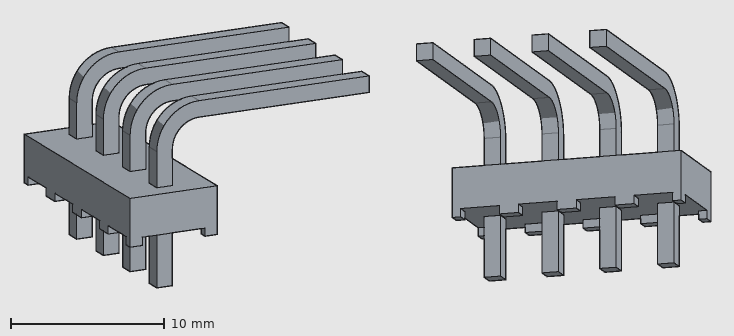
import cadquery as cq


block_length = 15.7
block_depth = 6.35
block_height = 2.78
foot_height = 0.55
foot_depth = 0.9
notch_width = 2.65

pin_count = 4
pin_pitch = 3.97
pin_width = 1.14
overall_depth = 18.03
pin_rise = 5.54
tail_length = 4.07
bend_outer_radius = 3.07

bend_inner_radius = bend_outer_radius - pin_width
pin_tip_y = overall_depth - block_depth / 2
pin_top_z = block_height + pin_rise
pin_positions = [(i - (pin_count - 1) / 2) * pin_pitch for i in range(pin_count)]


def make_housing():
    """Block with two rows of feet left standing between crossing notches."""
    full_height = block_height + foot_height
    housing = (
        cq.Workplane("XY")
        .workplane(offset=-foot_height)
        .rect(block_length, block_depth)
        .extrude(full_height)
    )
    foot_gap = block_depth - 2 * foot_depth
    channel = (
        cq.Workplane("XY")
        .rect(block_length, foot_gap)
        .extrude(-foot_height)
    )
    notches = (
        cq.Workplane("XY")
        .pushPoints([(x, 0) for x in pin_positions])
        .rect(notch_width, block_depth)
        .extrude(-foot_height)
    )
    return housing.cut(channel).cut(notches)


def make_bent_pin(x):
    """Square pin rising from the block top and bending towards +Y."""
    front_y = -pin_width / 2
    rear_y = pin_width / 2
    bend_y = front_y + bend_outer_radius
    bend_z = pin_top_z - bend_outer_radius
    profile = (
        cq.Workplane("YZ")
        .workplane(offset=x - pin_width / 2)
        .moveTo(front_y, block_height)
        .lineTo(front_y, bend_z)
        .radiusArc((bend_y, pin_top_z), bend_outer_radius)
        .lineTo(pin_tip_y, pin_top_z)
        .lineTo(pin_tip_y, pin_top_z - pin_width)
        .lineTo(bend_y, pin_top_z - pin_width)
        .radiusArc((rear_y, bend_z), -bend_inner_radius)
        .lineTo(rear_y, block_height)
        .close()
    )
    return profile.extrude(pin_width)


def make_tail(x):
    """Straight square tail hanging from the block underside."""
    return (
        cq.Workplane("XY")
        .center(x, 0)
        .rect(pin_width, pin_width)
        .extrude(-tail_length)
    )


housing = make_housing().solids()
bent_pins = [make_bent_pin(x).val() for x in pin_positions]
tails = [make_tail(x).val() for x in pin_positions]

result = cq.Compound.makeCompound([housing.val(), *bent_pins, *tails])